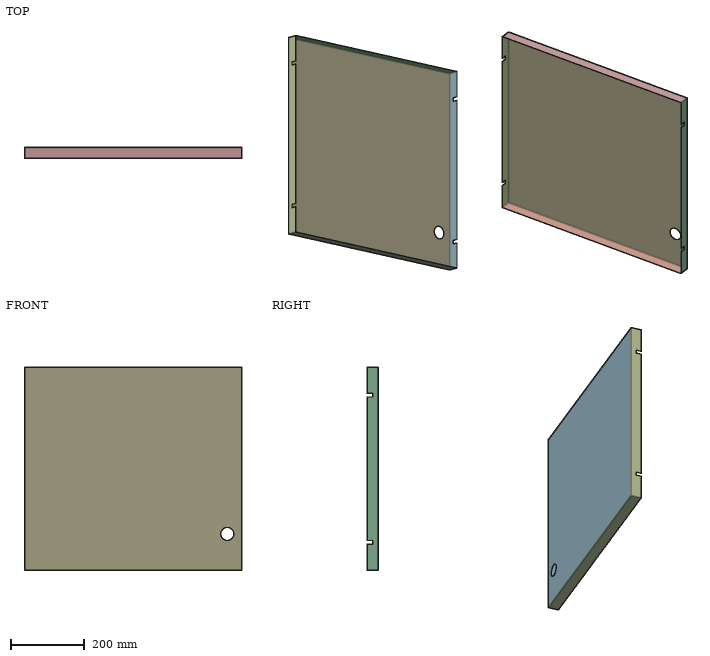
import cadquery as cq

width = 590.0
depth = 30.0
height = 552.0
sheet = 1.0
bend_radius = 1.5

hole_diameter = 35.0
hole_from_right = 39.5
hole_from_bottom = 99.0

slot_length = 15.0
slot_height = 9.5
slot_from_end = 76.0


def rounded_block(size_x, size_y, size_z, radius):
    """Centred block with rounded corners and a rounded rim on its back face."""
    return cq.Workplane("XY").box(size_x, size_y, size_z).edges("|Y or >Y").fillet(radius)


def make_tray():
    """Back panel with four flanges of constant sheet thickness."""
    outside = rounded_block(width, depth, height, bend_radius)
    inside = rounded_block(
        width - 2 * sheet, depth - sheet, height - 2 * sheet, bend_radius - sheet
    )
    return outside.cut(inside.translate((0, -sheet / 2, 0)))


def make_hole():
    """Cylinder along Y near the lower right corner of the panel."""
    hole_x = width / 2 - hole_from_right
    hole_z = hole_from_bottom - height / 2
    return (
        cq.Workplane("XZ")
        .center(hole_x, hole_z)
        .circle(hole_diameter / 2)
        .extrude(depth, both=True)
    )


def make_slot(slot_z):
    """Bar along X that notches the front edge of both side flanges."""
    slot_y = (slot_length - depth) / 2
    return cq.Workplane("XY").box(width, slot_length, slot_height).translate((0, slot_y, slot_z))


result = make_tray().cut(make_hole())
slot_offset = height / 2 - slot_from_end
for slot_position in (-slot_offset, slot_offset):
    result = result.cut(make_slot(slot_position))